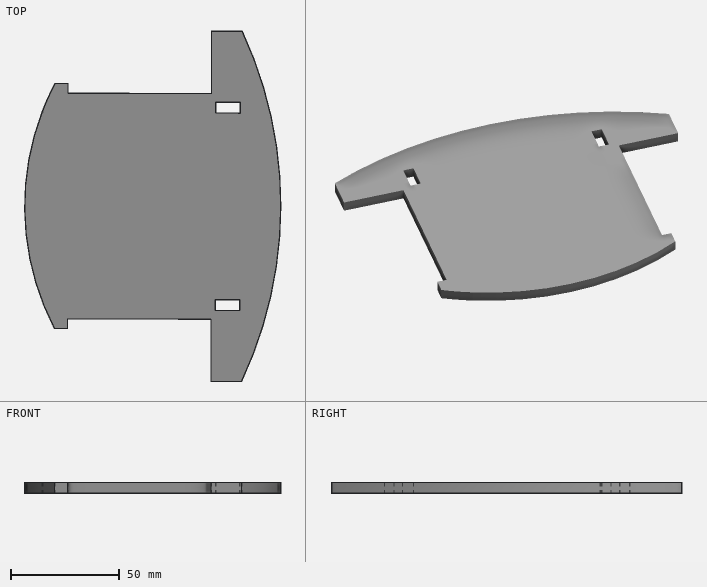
import cadquery as cq
import math


thickness = 5.0
skew = -0.115

arm_half_width = 80.74
tab_half_width = 56.53
recess_half_width = 52.05

rear_crown_x = -59.15
rear_corner_x = -45.25
tab_front_x = -39.15
arm_rear_x = 26.83
front_corner_x = 41.0
front_crown_x = 58.98

slot_length = 11.15
slot_width = 4.9
slot_x = 34.48
slot_y = 45.5

wedge_top_y = 43.7
wedge_width = 0.55
wedge_depth = 0.3

rear_bow = rear_corner_x - rear_crown_x
rear_radius = (tab_half_width**2 + rear_bow**2) / (2 * rear_bow)
rear_center_x = rear_crown_x + rear_radius


def rear_edge_point(y):
    """Point of the rear circle at this Y."""
    return (rear_center_x - math.sqrt(rear_radius**2 - y**2), y)


wedge_bottom_y = wedge_top_y - wedge_width
wedge_middle = rear_edge_point((wedge_top_y + wedge_bottom_y) / 2)
wedge_top = rear_edge_point(wedge_top_y)
wedge_bottom = rear_edge_point(wedge_bottom_y)
wedge_tip = (wedge_middle[0] + wedge_depth, wedge_middle[1])


def finish(outline):
    """Extrude an outline to the plate thickness and turn it by the skew."""
    return outline.extrude(thickness).rotate((0, 0, 0), (0, 0, 1), skew)


def make_plate():
    upper_arc_middle = rear_edge_point((tab_half_width + wedge_top_y) / 2)
    lower_arc_middle = rear_edge_point((wedge_bottom_y - tab_half_width) / 2)
    outline = (
        cq.Workplane("XY")
        .moveTo(front_corner_x, -arm_half_width)
        .threePointArc((front_crown_x, 0), (front_corner_x, arm_half_width))
        .lineTo(arm_rear_x, arm_half_width)
        .lineTo(arm_rear_x, recess_half_width)
        .lineTo(tab_front_x, recess_half_width)
        .lineTo(tab_front_x, tab_half_width)
        .lineTo(rear_corner_x, tab_half_width)
        .threePointArc(upper_arc_middle, wedge_top)
        .lineTo(*wedge_tip)
        .lineTo(*wedge_bottom)
        .threePointArc(lower_arc_middle, (rear_corner_x, -tab_half_width))
        .lineTo(tab_front_x, -tab_half_width)
        .lineTo(tab_front_x, -recess_half_width)
        .lineTo(arm_rear_x, -recess_half_width)
        .lineTo(arm_rear_x, -arm_half_width)
        .close()
    )
    slots = (
        cq.Workplane("XY")
        .pushPoints([(slot_x, side * slot_y) for side in (-1, 1)])
        .rect(slot_length, slot_width)
    )
    return finish(outline).cut(finish(slots))


def make_wedge():
    outline = (
        cq.Workplane("XY")
        .moveTo(*wedge_top)
        .lineTo(*wedge_tip)
        .lineTo(*wedge_bottom)
        .threePointArc(wedge_middle, wedge_top)
        .close()
    )
    return finish(outline)


plate = make_plate()
wedge = make_wedge()
result = cq.Compound.makeCompound([plate.val(), wedge.val()])